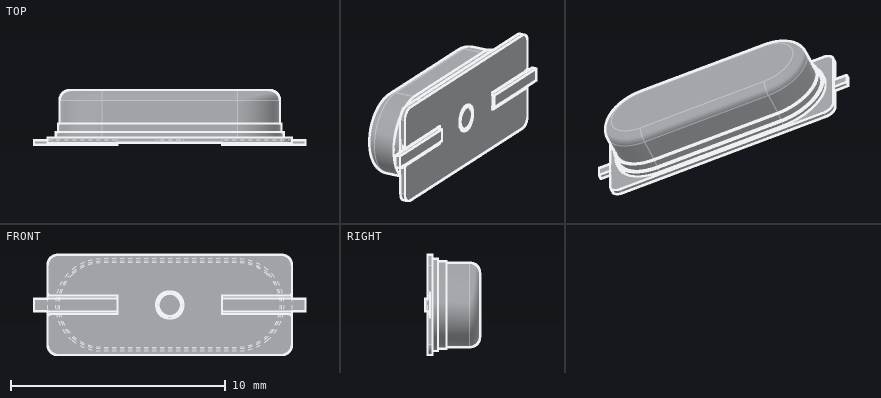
import cadquery as cq

overall_length = 12.7
overall_depth = 2.57

plate_length = 11.43
plate_height = 4.7
plate_thickness = 0.25
plate_corner_radius = 0.5

end_arc_spacing = 6.35
flange_height = 4.32
flange_depth = 0.25
shoulder_height = 4.1
shoulder_depth = 0.4
can_height = 3.96
can_edge_radius = 0.5

lead_length = 3.91
lead_width = 0.6
lead_thickness = 0.23
lead_protrusion = 0.1
lead_inner_end = overall_length / 2 - lead_length

slot_width = 0.87
slot_depth = lead_thickness - lead_protrusion
slot_mouth_radius = 0.13
slot_length = plate_length / 2 - lead_inner_end

ring_outer_diameter = 1.27
ring_inner_diameter = 1.05
ring_depth = slot_depth

flange_start = plate_thickness
shoulder_start = flange_start + flange_depth
can_start = shoulder_start + shoulder_depth
can_depth = overall_depth - lead_protrusion - can_start


def plane_at(y):
    """Work plane facing +Y at the given level, with local Y along -Z."""
    return cq.Workplane("XZ", origin=(0, y, 0)).transformed(rotate=(180, 0, 0))


def tier(start, depth, height):
    """Obround slab whose ends are half circles."""
    return plane_at(start).slot2D(end_arc_spacing + height, height).extrude(depth)


def make_plate():
    return (
        plane_at(0)
        .rect(plate_length, plate_height)
        .extrude(plate_thickness)
        .edges("|Y")
        .fillet(plate_corner_radius)
    )


def make_can():
    crown = tier(can_start, can_depth, can_height).faces(">Y").edges().fillet(can_edge_radius)
    flange = tier(flange_start, flange_depth, flange_height)
    shoulder = tier(shoulder_start, shoulder_depth, shoulder_height)
    return flange.union(shoulder).union(crown)


def make_slot(side):
    """Slot cutter that flares out with a rounded mouth at the plate end."""
    inner_x = side * lead_inner_end
    end_x = side * plate_length / 2
    half_width = slot_width / 2
    slot = plane_at(0).center((inner_x + end_x) / 2, 0).rect(slot_length, slot_width).extrude(slot_depth)
    for edge in (1, -1):
        wall_x = end_x - side * slot_mouth_radius
        mouth_z = edge * (half_width + slot_mouth_radius)
        corner = (
            plane_at(0)
            .center((wall_x + end_x) / 2, edge * (half_width + slot_mouth_radius / 2))
            .rect(slot_mouth_radius, slot_mouth_radius)
            .extrude(slot_depth)
        )
        rounding = plane_at(0).center(wall_x, mouth_z).circle(slot_mouth_radius).extrude(slot_depth)
        slot = slot.union(corner.cut(rounding))
    return slot


def make_lead(side):
    center_x = side * (lead_inner_end + lead_length / 2)
    return plane_at(-lead_protrusion).center(center_x, 0).rect(lead_length, lead_width).extrude(lead_thickness)


def make_ring_groove():
    return (
        plane_at(0)
        .circle(ring_outer_diameter / 2)
        .circle(ring_inner_diameter / 2)
        .extrude(ring_depth)
    )


result = make_plate().union(make_can()).cut(make_ring_groove())
for side in (1, -1):
    result = result.cut(make_slot(side)).union(make_lead(side))